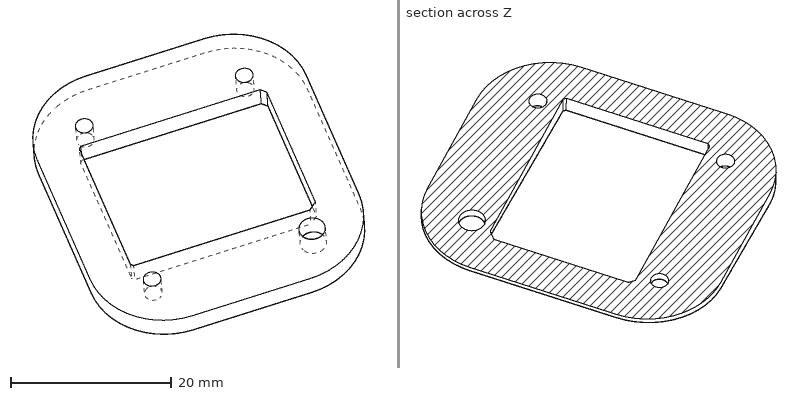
import cadquery as cq

plate_width = 39.77
plate_length = 35.65
plate_thickness = 3.0
corner_radius = 10.0
tilt_angle = 3.0

window_width = plate_width - 2 * corner_radius
window_length = 24.7
front_corner_chamfer = 0.3
left_rear_chamfer = 0.65
right_rear_chamfer_x = 0.9
right_rear_chamfer_y = 1.05

hole_spacing_x = 25.4
hole_spacing_y = 21.2
small_hole_diameter = 2.2
large_hole_diameter = 3.3


def make_plate():
    """Flat plate with rounded corners, centred on the origin."""
    plate = cq.Workplane("XY").box(plate_width, plate_length, plate_thickness)
    return plate.edges("|Z").fillet(corner_radius)


def make_window():
    """Through cutter for the window, with small chamfers in front and larger, unequal ones at the rear."""
    right = window_width / 2
    left = -right
    front = -window_length / 2
    rear = -front
    outline = [
        (left + front_corner_chamfer, front),
        (right - front_corner_chamfer, front),
        (right, front + front_corner_chamfer),
        (right, rear - right_rear_chamfer_y),
        (right - right_rear_chamfer_x, rear),
        (left + left_rear_chamfer, rear),
        (left, rear - left_rear_chamfer),
        (left, front + front_corner_chamfer),
    ]
    sketch = cq.Workplane("XY").polyline(outline).close()
    return sketch.extrude(plate_thickness, both=True)


def make_holes():
    """Through cutters for the four holes; the right rear one is larger."""
    right = hole_spacing_x / 2
    front = -hole_spacing_y / 2
    rear = -front
    small_places = [(-right, front), (right, front), (-right, rear)]
    small = cq.Workplane("XY").pushPoints(small_places).circle(small_hole_diameter / 2)
    large = cq.Workplane("XY").center(right, rear).circle(large_hole_diameter / 2)
    small_cutters = small.extrude(plate_thickness, both=True)
    large_cutter = large.extrude(plate_thickness, both=True)
    return small_cutters.union(large_cutter)


flat_plate = make_plate().cut(make_window()).cut(make_holes())
result = flat_plate.rotate((0, 0, 0), (1, 0, 0), tilt_angle)